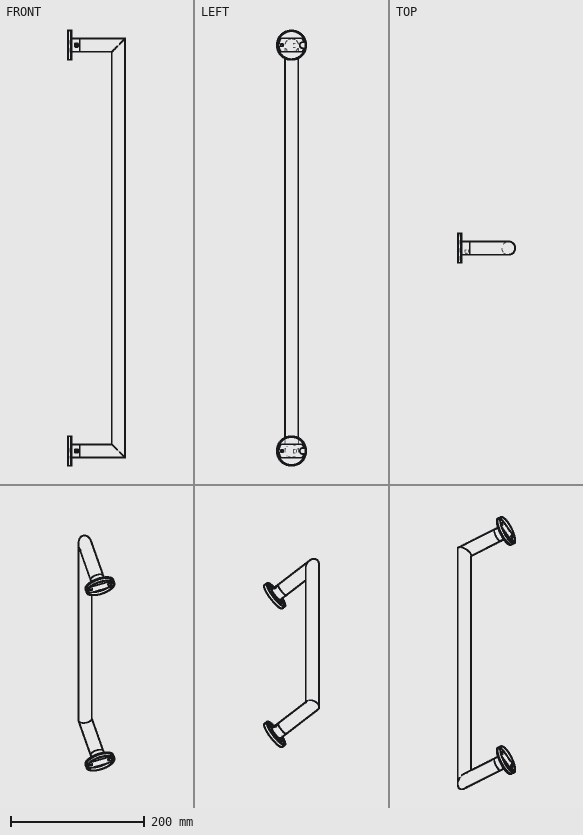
import cadquery as cq

HEIGHT = 654.0
PROJECTION = 86.5
TUBE_RADIUS = 10.15

COVER_RADIUS = 22.0
COVER_THICKNESS = 6.0
COVER_INNER_RADIUS = 21.0
COVER_FRONT_WALL = 1.0

PLATE_RECESS = 1.0
PLATE_WIDTH = 20.0
PLATE_END_RADIUS = 19.0
PIN_HOLE_RADIUS = 2.0
PIN_HOLE_OFFSET = 14.5
NOTCH_RADIUS = 4.5
NOTCH_OFFSET = 17.0

NECK_END = 17.5
SCREW_RADIUS = 2.95
SCREW_LENGTH = 8.0
SCREW_X = 13.0
SOCKET_SIDES = 6
SOCKET_WIDTH = 2.5
SOCKET_DEPTH = 3.0

LEG_Z = HEIGHT / 2 - COVER_RADIUS
GRIP_X = PROJECTION - TUBE_RADIUS
POCKET_DEPTH = COVER_THICKNESS - COVER_FRONT_WALL


def disc(radius, x_start, x_end, z):
    """Cylinder along X between two X positions, centred on a leg axis."""
    return cq.Workplane("YZ", origin=(x_start, 0, z)).circle(radius).extrude(x_end - x_start)


def make_rail():
    """One round bar: two legs and the grip, joined with mitred corners."""
    path = cq.Workplane("XZ").polyline(
        [(NECK_END, LEG_Z), (GRIP_X, LEG_Z), (GRIP_X, -LEG_Z), (NECK_END, -LEG_Z)]
    )
    profile = cq.Workplane("YZ", origin=(NECK_END, 0, LEG_Z)).circle(TUBE_RADIUS)
    return profile.sweep(path, transition="right")


def make_cover(z):
    """Shallow cup, open toward the mounting plane."""
    cup = disc(COVER_RADIUS, 0, COVER_THICKNESS, z)
    return cup.cut(disc(COVER_INNER_RADIUS, 0, POCKET_DEPTH, z))


def make_plate(z):
    """Bar with rounded ends on the cover floor, with a pin hole and a notch at one end."""
    bar_stock = cq.Workplane("XY").box(2 * COVER_THICKNESS, 2 * PLATE_END_RADIUS, PLATE_WIDTH)
    bar_stock = bar_stock.translate((0, 0, z))
    plate = disc(PLATE_END_RADIUS, PLATE_RECESS, POCKET_DEPTH, z).intersect(bar_stock)
    pin_hole = disc(PIN_HOLE_RADIUS, 0, POCKET_DEPTH, z).translate((0, PIN_HOLE_OFFSET, 0))
    notch = disc(NOTCH_RADIUS, 0, POCKET_DEPTH, z).translate((0, -NOTCH_OFFSET, 0))
    return plate.cut(pin_hole).cut(notch)


def screw_blank(z):
    """Plain cylinder of a set screw, entering the neck from the -Y side."""
    start = cq.Workplane("XZ", origin=(SCREW_X, -TUBE_RADIUS, z))
    return start.circle(SCREW_RADIUS).extrude(-SCREW_LENGTH)


def make_screw(z):
    """Set screw with a hexagon socket, trimmed flush with the neck."""
    socket = cq.Workplane("XZ", origin=(SCREW_X, -TUBE_RADIUS, z))
    socket = socket.polygon(SOCKET_SIDES, SOCKET_WIDTH, circumscribed=True).extrude(-SOCKET_DEPTH)
    neck_stock = disc(TUBE_RADIUS, COVER_THICKNESS, NECK_END, z)
    return screw_blank(z).intersect(neck_stock).cut(socket)


def make_neck(z):
    """Short round length between cover and rail, bored for the set screw."""
    return disc(TUBE_RADIUS, COVER_THICKNESS, NECK_END, z).cut(screw_blank(z))


rail = make_rail()
leg_heights = (LEG_Z, -LEG_Z)
covers = [make_cover(z).val() for z in leg_heights]
plates = [make_plate(z).val() for z in leg_heights]
necks = [make_neck(z).val() for z in leg_heights]
screws = [make_screw(z).val() for z in leg_heights]

result = cq.Compound.makeCompound([rail.val(), *covers, *plates, *necks, *screws])